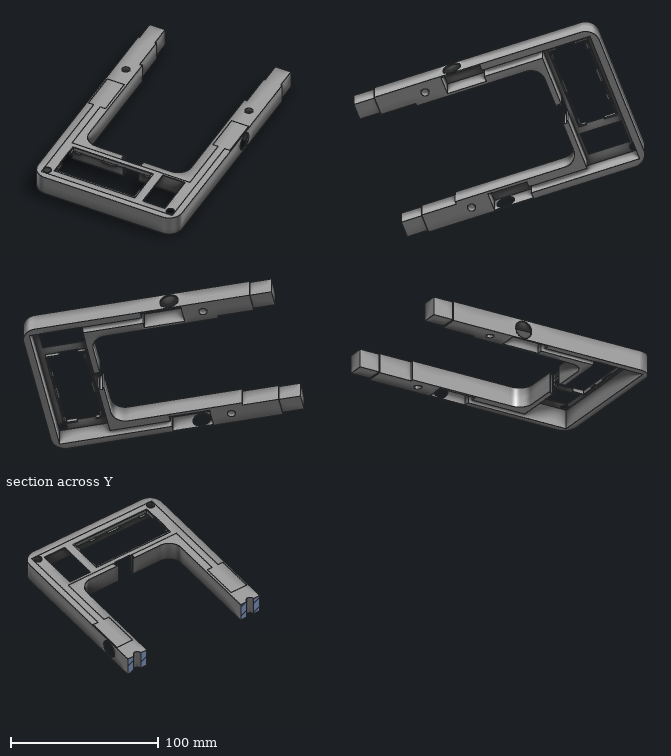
import cadquery as cq
WIDTH = 110.0
LENGTH = 174.0
HEIGHT = 14.5
HALF_WIDTH = WIDTH / 2
FRONT = -LENGTH / 2
BACK = LENGTH / 2
CORNER_RADIUS = 10.0

ARM_WIDTH = 16.0
NECK_WIDTH = 14
NECK_START = 47
TIP_LENGTH = 15.0
TIP_INSET = 1
SLOT_FRONT = -42
SLOT_HALF_WIDTH = HALF_WIDTH - ARM_WIDTH

SKIN = 0.5
OUTER_WALL = 5.0
BEAM_WALL = 4.0
CHANNEL_WIDTH = 5.0
CAVITY_TOP = HEIGHT - SKIN
CAVITY_BACK = SLOT_FRONT - BEAM_WALL

CHAMBER_FRONT = -4
CHAMBER_BACK = 24
CHAMBER_OUTER_WALL = 1
CHAMBER_INNER_WALL = 2.0
BUTTON_DIAMETER = 12.5
BUTTON_Y = 16.0
BUTTON_Z = 7

SCREW_DIAMETER = 5.5
SCREW_INSET = 8.0
SCREW_BACK_Y = 38.0

DISPLAY_LEFT = -41.5
DISPLAY_RIGHT = 18
DISPLAY_FRONT = -76.4
DISPLAY_BACK = -50.4
DISPLAY_RELIEF_FRONT = -68
DISPLAY_RELIEF_BACK = -55
RIB_THICKNESS = 1
RELIEF_DEPTH = 1.0
RIB_BOTTOM = HEIGHT - 3
CLIP_THICKNESS = 0.5
CLIP_REACH_BACK = 1.3
CLIP_REACH_FRONT = 1.5
SMALL_CLIP = 5.0
LARGE_CLIP = 10.4
LEFT_CLIP_X = -38.0
MIDDLE_CLIP_X = -14.0
BACK_RIGHT_CLIP_X = 14.5
FRONT_RIGHT_CLIP_X = 3.4

SWITCH_LEFT = 25.5
SWITCH_RIGHT = 42.2
SWITCH_FRONT = -77.8
SWITCH_BACK = -48.0

GAP_WIDTH = 12.0
GROOVE_WIDTH = 15.0
GAP_LIP = 1.0


def block(x_range, y_range, z_range):
    """Box between the given limits on each axis."""
    (x0, x1), (y0, y1), (z0, z1) = x_range, y_range, z_range
    return cq.Workplane("XY").box(x1 - x0, y1 - y0, z1 - z0, centered=False).translate((x0, y0, z0))


def both_sides(shape):
    """The shape together with its mirror image across the YZ plane."""
    return shape.union(shape.mirror("YZ"))


def outer_body():
    """Solid U-shaped frame with its stepped arms."""
    tip_start = BACK - TIP_LENGTH
    full_height = (0, HEIGHT)
    body = block((-HALF_WIDTH, HALF_WIDTH), (FRONT, tip_start), full_height)
    body = body.edges("|Z and <Y").fillet(CORNER_RADIUS)
    slot = block((-SLOT_HALF_WIDTH, SLOT_HALF_WIDTH), (SLOT_FRONT, BACK), full_height)
    slot = slot.edges("|Z and <Y").fillet(CORNER_RADIUS)
    neck_half_gap = HALF_WIDTH - NECK_WIDTH
    neck_gap = block((-neck_half_gap, neck_half_gap), (NECK_START, BACK), full_height)
    tip = block(
        (neck_half_gap + TIP_INSET, HALF_WIDTH - TIP_INSET),
        (tip_start, BACK),
        (TIP_INSET, HEIGHT),
    )
    return body.cut(slot).cut(neck_gap).union(both_sides(tip))


def interior():
    """Hollow of the base, the wiring channels in the arms and the button chambers."""
    z_range = (0, CAVITY_TOP)
    channel_outer = HALF_WIDTH - OUTER_WALL
    channel_inner = channel_outer - CHANNEL_WIDTH
    base = block((-channel_outer, channel_outer), (FRONT + OUTER_WALL, CAVITY_BACK), z_range)
    channel = block((channel_inner, channel_outer), (CAVITY_BACK, CHAMBER_FRONT), z_range)
    chamber = block(
        (SLOT_HALF_WIDTH + CHAMBER_INNER_WALL, HALF_WIDTH - CHAMBER_OUTER_WALL),
        (CHAMBER_FRONT, CHAMBER_BACK),
        z_range,
    )
    return base.union(both_sides(channel.union(chamber)))


def button_holes():
    """Round holes through the thin outer walls of the two button chambers."""
    hole = (
        cq.Workplane("YZ", origin=(HALF_WIDTH - CHAMBER_OUTER_WALL, 0, 0))
        .center(BUTTON_Y, BUTTON_Z)
        .circle(BUTTON_DIAMETER / 2)
        .extrude(CHAMBER_OUTER_WALL)
    )
    return both_sides(hole)


def screw_holes():
    """Four vertical screw holes."""
    x = HALF_WIDTH - SCREW_INSET
    points = [(side * x, y) for side in (-1, 1) for y in (FRONT + SCREW_INSET, SCREW_BACK_Y)]
    return cq.Workplane("XY").pushPoints(points).circle(SCREW_DIAMETER / 2).extrude(HEIGHT)


def display_rib():
    """Rectangular rib hanging from the top skin around the display opening."""
    return block(
        (DISPLAY_LEFT - RIB_THICKNESS, DISPLAY_RIGHT + RIB_THICKNESS),
        (DISPLAY_FRONT - RIB_THICKNESS, DISPLAY_BACK + RIB_THICKNESS),
        (RIB_BOTTOM, CAVITY_TOP),
    )


def display_opening():
    """Display window with a side relief that also cuts through the rib."""
    z_range = (RIB_BOTTOM, HEIGHT)
    window = block((DISPLAY_LEFT, DISPLAY_RIGHT), (DISPLAY_FRONT, DISPLAY_BACK), z_range)
    relief = block(
        (DISPLAY_LEFT - RELIEF_DEPTH, DISPLAY_RIGHT + RELIEF_DEPTH),
        (DISPLAY_RELIEF_FRONT, DISPLAY_RELIEF_BACK),
        z_range,
    )
    return window.union(relief)


def clip_row(clips, y_range):
    """Clips under the rib, each given by its centre along X and its width."""
    row = cq.Workplane("XY")
    for x, width in clips:
        x_range = (x - width / 2, x + width / 2)
        row = row.add(block(x_range, y_range, (RIB_BOTTOM - CLIP_THICKNESS, RIB_BOTTOM)))
    return row.combine()


def display_clips():
    """Clips reaching under the display from its back and front edges."""
    shared = [(LEFT_CLIP_X, SMALL_CLIP), (MIDDLE_CLIP_X, LARGE_CLIP)]
    back = clip_row(
        shared + [(BACK_RIGHT_CLIP_X, SMALL_CLIP)],
        (DISPLAY_BACK - CLIP_REACH_BACK, DISPLAY_BACK + RIB_THICKNESS),
    )
    front = clip_row(
        shared + [(FRONT_RIGHT_CLIP_X, SMALL_CLIP)],
        (DISPLAY_FRONT - RIB_THICKNESS, DISPLAY_FRONT + CLIP_REACH_FRONT),
    )
    return back.add(front)


def switch_opening():
    """Rectangular switch window through the top skin."""
    return block((SWITCH_LEFT, SWITCH_RIGHT), (SWITCH_FRONT, SWITCH_BACK), (CAVITY_TOP, HEIGHT))


def beam_gap():
    """Gap through the beam wall, with a wider groove between its two lips."""
    gap = block((-GAP_WIDTH / 2, GAP_WIDTH / 2), (CAVITY_BACK, SLOT_FRONT), (0, HEIGHT))
    groove = block(
        (-GROOVE_WIDTH / 2, GROOVE_WIDTH / 2),
        (CAVITY_BACK + GAP_LIP, SLOT_FRONT - GAP_LIP),
        (0, HEIGHT),
    )
    return gap.union(groove)


result = outer_body().cut(interior()).union(display_rib()).cut(display_opening())
for clip in display_clips().vals():
    result = result.union(cq.Workplane(clip))
result = result.cut(switch_opening()).cut(beam_gap()).cut(screw_holes()).cut(button_holes())